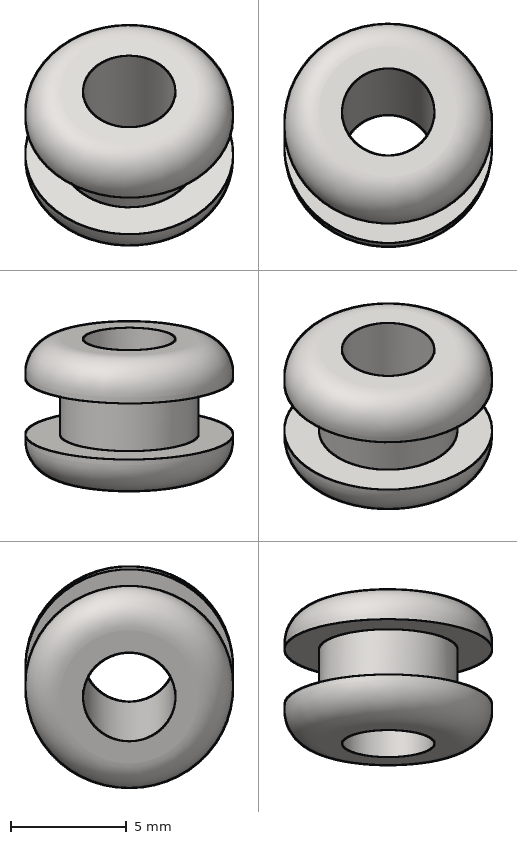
import cadquery as cq

outer_diameter = 9.0
neck_diameter = 6.0
bore_diameter = 4.0
height = 6.0
groove_width = 2.5

flange_thickness = (height - groove_width) / 2
rounding_radius = (outer_diameter - neck_diameter) / 2


def make_flange(bottom_z, rounded_edge):
    """Disc at bottom_z with one outer edge rounded."""
    disc = cq.Workplane("XY").workplane(offset=bottom_z).circle(outer_diameter / 2).extrude(flange_thickness)
    return disc.faces(rounded_edge).edges().fillet(rounding_radius)


neck = cq.Workplane("XY").workplane(offset=-height / 2).circle(neck_diameter / 2).extrude(height)
lower_flange = make_flange(-height / 2, "<Z")
upper_flange = make_flange(groove_width / 2, ">Z")
body = neck.union(lower_flange).union(upper_flange)

result = body.faces(">Z").workplane(centerOption="CenterOfBoundBox").circle(bore_diameter / 2).cutThruAll()